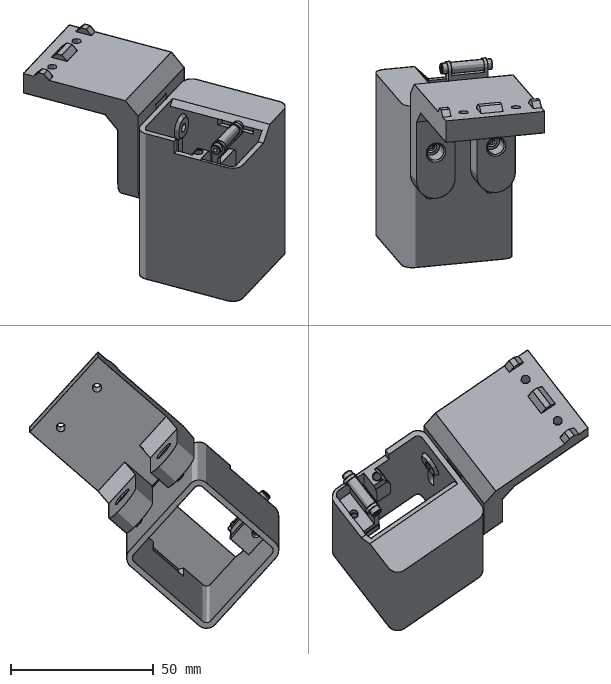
import cadquery as cq
import math


HOUSING_SIDE = 40.0
HOUSING_HEIGHT = 60.0
WALL = 2.0
OUTER_CORNER_RADIUS = 4.0
INNER_CORNER_RADIUS = OUTER_CORNER_RADIUS - WALL
INNER_SIDE = HOUSING_SIDE - 2 * WALL
HOUSING_MIDDLE = HOUSING_SIDE / 2
LID_EDGE_Y = 25.0

NOTCH_START_X = 15.1
NOTCH_DEPTH = 5.0
NOTCH_FLOOR = HOUSING_HEIGHT - NOTCH_DEPTH

GROOVE_FLOOR_WIDTH = 12.1
GROOVE_DEPTH = 1.5
GROOVE_SIDE_RUN = 1.0
GROOVE_BOTTOM = 45.05

POST_START_X = 19.3
POST_END_X = 25.2
POST_END_Y = 8.8
POST_BOTTOM = 42.5
POST_CHAMFER = 1.2
POST_TAPER = 0.8
POST_TAPER_HEIGHT = 2.55
POST_HOLE_X = 22.2
POST_HOLE_Y = 4.8
POST_HOLE_CHAMFER = 0.25
THREAD_HOLE_DIAMETER = 2.8
SCREW_HOLE_DIAMETER = 3.0

RELIEF_FRONT_Y = 1.0
RELIEF_CORNER_RADIUS = 2.0

SHELF_END_Y = 16.0
SHELF_THICKNESS = 4.25
SHELF_HOLE_X = 34.85
SHELF_HOLE_Y = 8.7

TOTAL_LENGTH = 85.0
BRACKET_START_X = HOUSING_SIDE - TOTAL_LENGTH
BRACKET_THICKNESS = 8.0
BRACKET_TOP = 69.95
BRACKET_BOTTOM = 28.0
BRACKET_CHAMFER = 5.0
BRACKET_WIDTH = 35.95
LEG_WIDTH = 14.0
LEG_OFFSET = (BRACKET_WIDTH - LEG_WIDTH) / 2
LEG_CENTRES_Y = [HOUSING_MIDDLE - LEG_OFFSET, HOUSING_MIDDLE + LEG_OFFSET]

RIDGE_HEIGHT = 2.0
RIDGE_CREST_WIDTH = 2.0
RIDGE_CENTRE_X = BRACKET_START_X + 7.05
RIDGE_MIDDLE_LENGTH = 8.0
RIDGE_END_LENGTH = 3.0
PLATE_HOLE_DIAMETER = 3.1
PLATE_HOLE_OFFSET = 9.5

CLAMP_Z = 45.0
COUNTERBORE_DIAMETER = 6.0
COUNTERBORE_FLOOR = 2.0
HOLE_CHAMFER = 0.5
SLOT_WIDTH = 3.2
SLOT_BOTTOM = 25.0

DISC_BASE_DIAMETER = 9.5
DISC_TIP_DIAMETER = 7.65
DISC_THICKNESS = 1.3

HOLDER_START_X = 29.3
HOLDER_END_X = HOUSING_SIDE - WALL
HOLDER_THICKNESS = 2.0
HOLDER_START_Y = 1.3
HOLDER_LENGTH = 14.45
HOLDER_END_Y = HOLDER_START_Y + HOLDER_LENGTH
HOLDER_MIDDLE_Y = HOLDER_START_Y + HOLDER_LENGTH / 2
HOLDER_CORNER_RADIUS = 3.0
HOLDER_BAR_TOP = 59.25
FOOT_THICKNESS = 3.0
FOOT_HOLE_X = 34.9
LUG_THICKNESS = 1.3
LUG_RADIUS = 2.5
LUG_CENTRE_X = HOLDER_START_X + LUG_RADIUS
LUG_CENTRE_Z = 61.1
WINDOW_START_Y = 3.7
WINDOW_BOTTOM = 52.95
WINDOW_TOP = 56.5
WINDOW_CORNER_RADIUS = 0.8
SILL_END_RADIUS = 1.7

ROLLER_X = 31.5
ROLLER_Z = 61.3
ROLLER_START_Y = -0.6
ROLLER_LENGTH = 18.4
ROLLER_DIAMETER = 3.8
BARREL_DIAMETER = 4.0
ROLLER_CHAMFER = 0.25
DIMPLE_DIAMETER = 1.45


def box(x0, x1, y0, y1, z0, z1):
    return cq.Workplane("XY").box(x1 - x0, y1 - y0, z1 - z0, centered=False).translate((x0, y0, z0))


def prism_along_x(points, x0, x1):
    """Extrude an outline of (y, z) points from x0 to x1."""
    return cq.Workplane("YZ", origin=(x0, 0, 0)).polyline(points).close().extrude(x1 - x0)


def prism_along_y(points, y0, y1):
    """Extrude an outline of (x, z) points from y0 to y1."""
    return cq.Workplane("XZ", origin=(0, y0, 0)).polyline(points).close().extrude(y0 - y1)


def vertical_hole(x, y, diameter):
    return cq.Workplane("XY").center(x, y).circle(diameter / 2).extrude(BRACKET_TOP + RIDGE_HEIGHT)


def turned_along_x(profile, y, z):
    """Revolve (x, radius) points about a line parallel to X."""
    turned = cq.Workplane("XY").polyline(profile).close().revolve(360, (0, 0, 0), (1, 0, 0))
    return turned.translate((0, y, z))


def make_post():
    """Screw post whose -X and +Y sides lean inwards near the top and end in a 45 degree chamfer."""
    post = box(POST_START_X, POST_END_X, WALL / 2, POST_END_Y, POST_BOTTOM, NOTCH_FLOOR)
    chamfer_z = NOTCH_FLOOR - POST_CHAMFER
    taper_z = chamfer_z - POST_TAPER_HEIGHT
    inset = POST_TAPER + POST_CHAMFER
    side_x = [
        (POST_START_X, taper_z),
        (POST_START_X + POST_TAPER, chamfer_z),
        (POST_START_X + inset, NOTCH_FLOOR),
        (POST_START_X, NOTCH_FLOOR),
    ]
    side_y = [
        (POST_END_Y, taper_z),
        (POST_END_Y - POST_TAPER, chamfer_z),
        (POST_END_Y - inset, NOTCH_FLOOR),
        (POST_END_Y, NOTCH_FLOOR),
    ]
    post = post.cut(prism_along_y(side_x, WALL, POST_END_Y))
    post = post.cut(prism_along_x(side_y, POST_START_X, POST_END_X))
    post = post.cut(vertical_hole(POST_HOLE_X, POST_HOLE_Y, THREAD_HOLE_DIAMETER))
    countersink = cq.Solid.makeCone(
        THREAD_HOLE_DIAMETER / 2,
        THREAD_HOLE_DIAMETER / 2 + POST_HOLE_CHAMFER,
        POST_HOLE_CHAMFER,
        pnt=cq.Vector(POST_HOLE_X, POST_HOLE_Y, NOTCH_FLOOR - POST_HOLE_CHAMFER),
    )
    return post.cut(cq.Workplane(countersink))


def make_shelf():
    """Shelf that joins the -Y and +X walls, with a screw hole under the foot of the roller holder."""
    wall_middle = WALL / 2
    end_x = HOUSING_SIDE - wall_middle
    shelf = box(HOLDER_START_X, end_x, wall_middle, SHELF_END_Y, POST_BOTTOM - SHELF_THICKNESS, POST_BOTTOM)
    shelf = shelf.edges("|Z and >X and <Y").fillet(OUTER_CORNER_RADIUS - wall_middle)
    return shelf.cut(vertical_hole(SHELF_HOLE_X, SHELF_HOLE_Y, THREAD_HOLE_DIAMETER))


def make_clamp_slots():
    """Slots through the -X wall, each from its lower round end up to the clamp screw."""
    slot_length = CLAMP_Z + SLOT_WIDTH / 2 - SLOT_BOTTOM
    middle_z = SLOT_BOTTOM + slot_length / 2
    places = [(y, middle_z) for y in LEG_CENTRES_Y]
    return cq.Workplane("YZ").pushPoints(places).slot2D(slot_length, SLOT_WIDTH, 90).extrude(WALL)


def make_housing():
    middle = (HOUSING_MIDDLE, HOUSING_MIDDLE, 0)
    outside = cq.Workplane("XY", origin=middle).rect(HOUSING_SIDE, HOUSING_SIDE).extrude(HOUSING_HEIGHT)
    outside = outside.edges("|Z").fillet(OUTER_CORNER_RADIUS)
    cavity = cq.Workplane("XY", origin=middle).rect(INNER_SIDE, INNER_SIDE).extrude(HOUSING_HEIGHT)
    cavity = cavity.edges("|Z").fillet(INNER_CORNER_RADIUS)

    lid_bottom = HOUSING_HEIGHT - WALL
    lid_outline = [
        (LID_EDGE_Y, HOUSING_HEIGHT),
        (HOUSING_SIDE, HOUSING_HEIGHT),
        (HOUSING_SIDE, lid_bottom),
        (LID_EDGE_Y - WALL, lid_bottom),
    ]
    housing = outside.cut(cavity.cut(prism_along_x(lid_outline, 0, HOUSING_SIDE)))

    notch_outline = [
        (0, HOUSING_HEIGHT),
        (LID_EDGE_Y, HOUSING_HEIGHT),
        (LID_EDGE_Y - NOTCH_DEPTH, NOTCH_FLOOR),
        (0, NOTCH_FLOOR),
    ]
    housing = housing.cut(prism_along_x(notch_outline, NOTCH_START_X, HOUSING_SIDE))

    groove_floor_y = HOUSING_SIDE - WALL + GROOVE_DEPTH
    half_floor = GROOVE_FLOOR_WIDTH / 2
    half_mouth = half_floor + GROOVE_SIDE_RUN
    groove = (
        cq.Workplane("XY", origin=(0, 0, GROOVE_BOTTOM))
        .moveTo(HOUSING_MIDDLE - half_mouth, HOUSING_SIDE - WALL)
        .lineTo(HOUSING_MIDDLE - half_floor, groove_floor_y)
        .lineTo(HOUSING_MIDDLE + half_floor, groove_floor_y)
        .lineTo(HOUSING_MIDDLE + half_mouth, HOUSING_SIDE - WALL)
        .close()
        .extrude(lid_bottom - GROOVE_BOTTOM)
    )
    housing = housing.cut(groove)

    relief = box(POST_END_X, HOLDER_END_X, RELIEF_FRONT_Y, HOLDER_END_Y, POST_BOTTOM, NOTCH_FLOOR)
    housing = housing.cut(relief.edges("|Z and >X and <Y").fillet(RELIEF_CORNER_RADIUS))

    return housing.union(make_post()).union(make_shelf()).cut(make_clamp_slots())


def make_bracket():
    plate_bottom = BRACKET_TOP - BRACKET_THICKNESS
    start_y = HOUSING_MIDDLE - BRACKET_WIDTH / 2
    end_y = start_y + BRACKET_WIDTH
    side_outline = [
        (BRACKET_START_X, BRACKET_TOP),
        (-BRACKET_CHAMFER, BRACKET_TOP),
        (0, BRACKET_TOP - BRACKET_CHAMFER),
        (0, BRACKET_BOTTOM),
        (-BRACKET_THICKNESS, BRACKET_BOTTOM),
        (-BRACKET_THICKNESS, plate_bottom - BRACKET_CHAMFER),
        (-BRACKET_THICKNESS - BRACKET_CHAMFER, plate_bottom),
        (BRACKET_START_X, plate_bottom),
    ]
    bracket = prism_along_y(side_outline, start_y, end_y)

    leg_radius = LEG_WIDTH / 2
    leg_round_z = BRACKET_BOTTOM + leg_radius
    end_outline = box(BRACKET_START_X, 0, start_y, end_y, plate_bottom, BRACKET_TOP)
    for y in LEG_CENTRES_Y:
        leg = (
            cq.Workplane("YZ")
            .moveTo(y - leg_radius, plate_bottom)
            .lineTo(y - leg_radius, leg_round_z)
            .threePointArc((y, BRACKET_BOTTOM), (y + leg_radius, leg_round_z))
            .lineTo(y + leg_radius, plate_bottom)
            .close()
            .extrude(BRACKET_START_X)
        )
        end_outline = end_outline.union(leg)
    bracket = bracket.intersect(end_outline)

    bore = COUNTERBORE_DIAMETER / 2
    hole = SCREW_HOLE_DIAMETER / 2
    outer_face = -BRACKET_THICKNESS
    hole_profile = [
        (outer_face, 0),
        (outer_face, bore + HOLE_CHAMFER),
        (outer_face + HOLE_CHAMFER, bore),
        (-COUNTERBORE_FLOOR, bore),
        (-COUNTERBORE_FLOOR, hole + HOLE_CHAMFER),
        (-COUNTERBORE_FLOOR + HOLE_CHAMFER, hole),
        (0, hole),
        (0, 0),
    ]
    for y in LEG_CENTRES_Y:
        bracket = bracket.cut(turned_along_x(hole_profile, y, CLAMP_Z))

    half_crest = RIDGE_CREST_WIDTH / 2
    half_base = half_crest + RIDGE_HEIGHT
    ridge_outline = [
        (RIDGE_CENTRE_X - half_base, BRACKET_TOP),
        (RIDGE_CENTRE_X - half_crest, BRACKET_TOP + RIDGE_HEIGHT),
        (RIDGE_CENTRE_X + half_crest, BRACKET_TOP + RIDGE_HEIGHT),
        (RIDGE_CENTRE_X + half_base, BRACKET_TOP),
    ]
    ridge_spans = [
        (start_y, start_y + RIDGE_END_LENGTH),
        (HOUSING_MIDDLE - RIDGE_MIDDLE_LENGTH / 2, HOUSING_MIDDLE + RIDGE_MIDDLE_LENGTH / 2),
        (end_y - RIDGE_END_LENGTH, end_y),
    ]
    for y0, y1 in ridge_spans:
        bracket = bracket.union(prism_along_y(ridge_outline, y0, y1))

    for offset in (-PLATE_HOLE_OFFSET, PLATE_HOLE_OFFSET):
        bracket = bracket.cut(vertical_hole(RIDGE_CENTRE_X, HOUSING_MIDDLE + offset, PLATE_HOLE_DIAMETER))
    return bracket


def make_clamp_disc(y):
    hole = SCREW_HOLE_DIAMETER / 2
    tip_x = WALL + DISC_THICKNESS
    profile = [
        (WALL, hole),
        (WALL, DISC_BASE_DIAMETER / 2),
        (tip_x, DISC_TIP_DIAMETER / 2),
        (tip_x, hole),
    ]
    return turned_along_x(profile, y, CLAMP_Z)


def make_lug(y0):
    """Lug whose +X side rises as a tangent to its round end."""
    foot_x = HOLDER_START_X + HOLDER_THICKNESS
    away_x = foot_x - LUG_CENTRE_X
    away_z = WINDOW_TOP - LUG_CENTRE_Z
    angle = math.atan2(away_z, away_x) + math.acos(LUG_RADIUS / math.hypot(away_x, away_z))
    tangent_x = LUG_CENTRE_X + LUG_RADIUS * math.cos(angle)
    tangent_z = LUG_CENTRE_Z + LUG_RADIUS * math.sin(angle)
    return (
        cq.Workplane("XZ", origin=(0, y0, 0))
        .moveTo(HOLDER_START_X, WINDOW_TOP)
        .lineTo(foot_x, WINDOW_TOP)
        .lineTo(tangent_x, tangent_z)
        .threePointArc((LUG_CENTRE_X, LUG_CENTRE_Z + LUG_RADIUS), (HOLDER_START_X, LUG_CENTRE_Z))
        .close()
        .extrude(-LUG_THICKNESS)
    )


def make_roller_holder():
    plate_end_x = HOLDER_START_X + HOLDER_THICKNESS
    plate = box(HOLDER_START_X, plate_end_x, HOLDER_START_Y, HOLDER_END_Y, POST_BOTTOM, HOLDER_BAR_TOP)

    window = box(HOLDER_START_X, plate_end_x, WINDOW_START_Y, HOLDER_END_Y, WINDOW_BOTTOM, WINDOW_TOP)
    plate = plate.cut(window.edges("|X and <Y").fillet(WINDOW_CORNER_RADIUS))
    sill_end = cq.selectors.NearestToPointSelector(
        (HOLDER_START_X + HOLDER_THICKNESS / 2, HOLDER_END_Y, WINDOW_BOTTOM)
    )
    plate = plate.edges("|X").edges(sill_end).fillet(SILL_END_RADIUS)

    foot_top = POST_BOTTOM + FOOT_THICKNESS
    foot = box(HOLDER_START_X, HOLDER_END_X, HOLDER_START_Y, HOLDER_END_Y, POST_BOTTOM, foot_top)
    foot = foot.edges("|Z and >X and <Y").fillet(HOLDER_CORNER_RADIUS)
    holder = plate.union(foot).cut(vertical_hole(FOOT_HOLE_X, HOLDER_MIDDLE_Y, SCREW_HOLE_DIAMETER))

    for y0 in (HOLDER_START_Y, HOLDER_END_Y - LUG_THICKNESS):
        holder = holder.union(make_lug(y0))
    roller_hole = (
        cq.Workplane("XZ", origin=(ROLLER_X, HOLDER_START_Y, ROLLER_Z))
        .circle(ROLLER_DIAMETER / 2)
        .extrude(-HOLDER_LENGTH)
    )
    return holder.cut(roller_hole)


def make_roller():
    """Rod along Y with a barrel between the lugs, chamfered ends and a 90 degree conical dimple in each."""
    radius = ROLLER_DIAMETER / 2
    dimple = DIMPLE_DIAMETER / 2
    profile = [
        (0, dimple),
        (dimple, 0),
        (radius - ROLLER_CHAMFER, 0),
        (radius, ROLLER_CHAMFER),
        (radius, ROLLER_LENGTH - ROLLER_CHAMFER),
        (radius - ROLLER_CHAMFER, ROLLER_LENGTH),
        (dimple, ROLLER_LENGTH),
        (0, ROLLER_LENGTH - dimple),
    ]
    rod = cq.Workplane("XY").polyline(profile).close().revolve(360, (0, 0, 0), (0, 1, 0))
    rod = rod.translate((ROLLER_X, ROLLER_START_Y, ROLLER_Z))
    barrel = (
        cq.Workplane("XZ", origin=(ROLLER_X, HOLDER_START_Y + LUG_THICKNESS, ROLLER_Z))
        .circle(BARREL_DIAMETER / 2)
        .extrude(2 * LUG_THICKNESS - HOLDER_LENGTH)
    )
    return rod.union(barrel)


housing = make_housing()
bracket = make_bracket()
clamp_discs = [make_clamp_disc(y) for y in LEG_CENTRES_Y]
roller_holder = make_roller_holder()
roller = make_roller()

result = cq.Compound.makeCompound(
    [
        housing.val(),
        bracket.val(),
        *[disc.val() for disc in clamp_discs],
        roller_holder.val(),
        roller.val(),
    ]
)